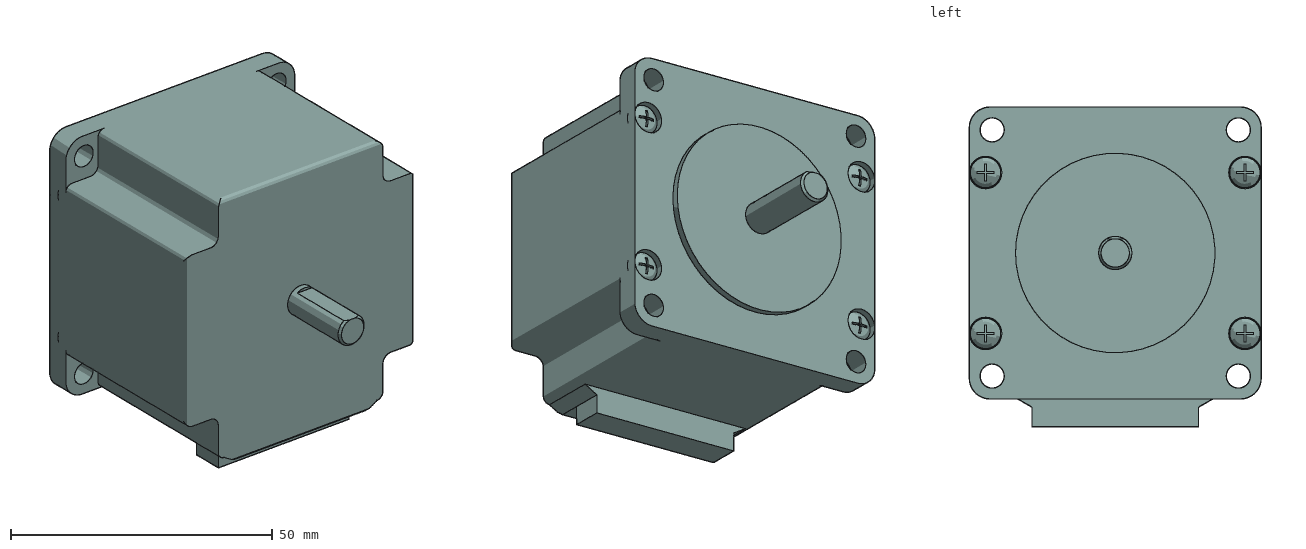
import cadquery as cq
import math


overall_length = 78.6
front_shaft_tip = -20.4
front_flat_end = -5.6
pilot_height = 1.5
flange_thickness = 5.0
rear_cap_start = 30.1
body_end = 42.1
rear_flat_start = 43.4
rear_shaft_tip = front_shaft_tip + overall_length

flange_side = 56.0
flange_corner_radius = 4.0
pilot_diameter = 38.2
mount_hole_spacing = 47.15
mount_hole_diameter = 4.55

half_side = flange_side / 2
notch_wall_y = 20.1
notch_ledge_z = 18.6
outer_round = 1.5
inner_round = 1.9
rear_round = 1.0

outlet_bottom_z = -29.55
outlet_slope = 30.0
outlet_chamfer = 0.5
overall_height = 61.3
connector_bottom_z = half_side - overall_height
connector_width = 31.9
connector_length = 6.8

shaft_diameter = 6.4
shaft_flat_depth = 0.55
shaft_chamfer = 0.5

screw_y = 24.8
screw_z = 15.4
counterbore_diameter = 6.2
counterbore_depth = 2.5
screw_head_diameter = 5.8
screw_rim_depth = 1.25
screw_crown_diameter = 4.4
screw_crown_depth = 0.8
screw_dome_rise = 0.5
cross_length = 3.3
cross_width = 0.4
cross_depth = 1.0


def plane_at(x):
    """Plane across the shaft axis: local x is +Y, local y is +Z, normal is +X."""
    return cq.Workplane("YZ", origin=(x, 0, 0))


def four_corners(y, z):
    return [(side_y * y, side_z * z) for side_y in (-1, 1) for side_z in (-1, 1)]


def make_flange():
    flange = (
        plane_at(0)
        .rect(flange_side, flange_side)
        .extrude(flange_thickness)
        .edges("|X")
        .fillet(flange_corner_radius)
    )
    pilot = plane_at(-pilot_height).circle(pilot_diameter / 2).extrude(pilot_height)
    mount_holes = (
        plane_at(0)
        .rect(mount_hole_spacing, mount_hole_spacing, forConstruction=True)
        .vertices()
        .circle(mount_hole_diameter / 2)
        .extrude(flange_thickness)
    )
    return flange.cut(mount_holes).union(pilot)


def notch_fillet(side_y, side_z, length):
    """Concave fillet between a notch wall and its ledge."""
    wall = side_y * notch_wall_y
    ledge = side_z * notch_ledge_z
    arc_offset = inner_round * (1 - math.sqrt(0.5))
    return (
        plane_at(flange_thickness)
        .moveTo(wall, ledge)
        .lineTo(wall + side_y * inner_round, ledge)
        .threePointArc(
            (wall + side_y * arc_offset, ledge + side_z * arc_offset),
            (wall, ledge + side_z * inner_round),
        )
        .close()
        .extrude(length)
    )


def rear_round_cutter(angle):
    """Sliver that rounds the rear edge of the top face, turned about X by the angle."""
    arc_inset = rear_round * (1 - math.sqrt(0.5))
    sliver = (
        cq.Workplane("XZ")
        .moveTo(body_end - rear_round, half_side)
        .threePointArc(
            (body_end - arc_inset, half_side - arc_inset),
            (body_end, half_side - rear_round),
        )
        .lineTo(body_end, half_side)
        .close()
        .extrude(half_side, both=True)
    )
    return sliver.rotate((0, 0, 0), (1, 0, 0), angle)


def make_body():
    length = body_end - flange_thickness
    upright = plane_at(flange_thickness).rect(2 * notch_wall_y, flange_side).extrude(length)
    crosswise = plane_at(flange_thickness).rect(flange_side, 2 * notch_ledge_z).extrude(length)
    upright = upright.edges("|X").fillet(outer_round)
    crosswise = crosswise.edges("|X").fillet(outer_round)
    body = upright.union(crosswise)
    for side_y, side_z in four_corners(1, 1):
        body = body.union(notch_fillet(side_y, side_z, length))
    for angle in (0, 90, 270):
        body = body.cut(rear_round_cutter(angle))
    return body


def make_cable_outlet():
    half_width = connector_width / 2
    slope = math.radians(outlet_slope)
    slope_run = notch_wall_y - outer_round * (1 - math.sin(slope)) - half_width
    slope_top_z = outlet_bottom_z + slope_run * math.tan(slope)
    outlet = (
        plane_at(rear_cap_start)
        .polyline([
            (-half_width - slope_run, slope_top_z),
            (-half_width, outlet_bottom_z),
            (half_width, outlet_bottom_z),
            (half_width + slope_run, slope_top_z),
        ])
        .close()
        .extrude(body_end - rear_cap_start)
        .faces("<Z")
        .edges(">X")
        .chamfer(outlet_chamfer)
    )
    connector = cq.Workplane("XY", origin=(rear_cap_start, 0, connector_bottom_z)).box(
        connector_length,
        connector_width,
        -half_side - connector_bottom_z,
        centered=(False, True, False),
    )
    return outlet.union(connector)


def make_shaft():
    shaft = (
        plane_at(front_shaft_tip)
        .circle(shaft_diameter / 2)
        .extrude(rear_shaft_tip - front_shaft_tip)
        .faces("<X or >X")
        .chamfer(shaft_chamfer)
    )
    for start, end in ((front_shaft_tip, front_flat_end), (rear_flat_start, rear_shaft_tip)):
        flat = cq.Workplane("XY", origin=(start, 0, shaft_diameter / 2 - shaft_flat_depth)).box(
            end - start, shaft_diameter, shaft_diameter, centered=(False, True, False)
        )
        shaft = shaft.cut(flat)
    return shaft


def make_screw_head():
    """Domed cross-recess head on the X axis, resting on the counterbore floor."""
    rim_radius = screw_head_diameter / 2
    crown_radius = screw_crown_diameter / 2
    dome_top = screw_crown_depth - screw_dome_rise
    dome_sphere_radius = (crown_radius**2 + screw_dome_rise**2) / (2 * screw_dome_rise)
    half_reach = crown_radius / 2
    dome_middle = (
        dome_top + dome_sphere_radius - math.sqrt(dome_sphere_radius**2 - half_reach**2)
    )
    head = (
        cq.Workplane("XY")
        .moveTo(counterbore_depth, 0)
        .lineTo(counterbore_depth, rim_radius)
        .lineTo(screw_rim_depth, rim_radius)
        .lineTo(screw_crown_depth, crown_radius)
        .threePointArc((dome_middle, half_reach), (dome_top, 0))
        .close()
        .revolve(360, (0, 0, 0), (1, 0, 0))
    )
    cross = (
        plane_at(dome_top)
        .rect(cross_length, cross_width)
        .extrude(cross_depth)
        .union(plane_at(dome_top).rect(cross_width, cross_length).extrude(cross_depth))
    )
    return head.cut(cross)


motor = make_flange().union(make_body()).union(make_cable_outlet()).union(make_shaft())

counterbores = (
    plane_at(0)
    .pushPoints(four_corners(screw_y, screw_z))
    .circle(counterbore_diameter / 2)
    .extrude(counterbore_depth)
)
motor = motor.cut(counterbores)

screw_head = make_screw_head()
for y, z in four_corners(screw_y, screw_z):
    motor = motor.union(screw_head.translate((0, y, z)))

result = motor